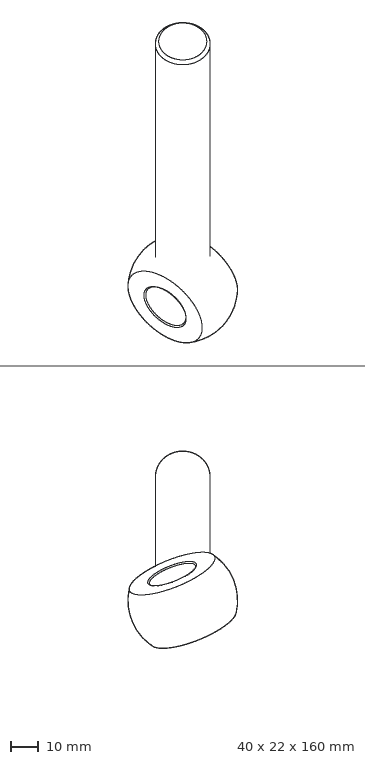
import cadquery as cq
import math

ball_diameter = 40.0
eye_thickness = 22.0
hole_diameter = 18.0
hole_chamfer = 0.5

shank_diameter = 20.0
shank_end_height = 140.0
end_chamfer = 1.25

neck_fillet_radius = 2.0

ball_radius = ball_diameter / 2
shank_radius = shank_diameter / 2


def make_blank():
    """Ball, neck fillet and shank revolved together about Z."""
    fillet_centre_x = shank_radius + neck_fillet_radius
    centre_distance = ball_radius + neck_fillet_radius
    fillet_centre_z = math.sqrt(centre_distance**2 - fillet_centre_x**2)
    ball_share = ball_radius / centre_distance
    ball_tangent = (fillet_centre_x * ball_share, fillet_centre_z * ball_share)

    end_angle = math.atan2(-fillet_centre_z, -fillet_centre_x)
    middle_angle = (end_angle - math.pi) / 2
    fillet_middle = (
        fillet_centre_x + neck_fillet_radius * math.cos(middle_angle),
        fillet_centre_z + neck_fillet_radius * math.sin(middle_angle),
    )

    profile = (
        cq.Workplane("XZ")
        .moveTo(0, -ball_radius)
        .threePointArc((ball_radius, 0), ball_tangent)
        .threePointArc(fillet_middle, (shank_radius, fillet_centre_z))
        .lineTo(shank_radius, shank_end_height - end_chamfer)
        .lineTo(shank_radius - end_chamfer, shank_end_height)
        .lineTo(0, shank_end_height)
        .close()
    )
    return profile.revolve(360, (0, 0, 0), (0, 1, 0))


def make_flat_envelope():
    """Slab that trims the ball to the two flats of the eye."""
    height = ball_diameter + shank_end_height
    return cq.Workplane("XY").box(ball_diameter, eye_thickness, 2 * height)


def make_hole():
    """Cross hole along Y with a chamfer at each flat."""
    half_thickness = eye_thickness / 2
    hole_radius = hole_diameter / 2
    mouth_radius = hole_radius + hole_chamfer
    return (
        cq.Workplane("XY")
        .moveTo(0, -half_thickness)
        .lineTo(mouth_radius, -half_thickness)
        .lineTo(hole_radius, -half_thickness + hole_chamfer)
        .lineTo(hole_radius, half_thickness - hole_chamfer)
        .lineTo(mouth_radius, half_thickness)
        .lineTo(0, half_thickness)
        .close()
        .revolve(360, (0, 0, 0), (0, 1, 0))
    )


result = make_blank().intersect(make_flat_envelope()).cut(make_hole())